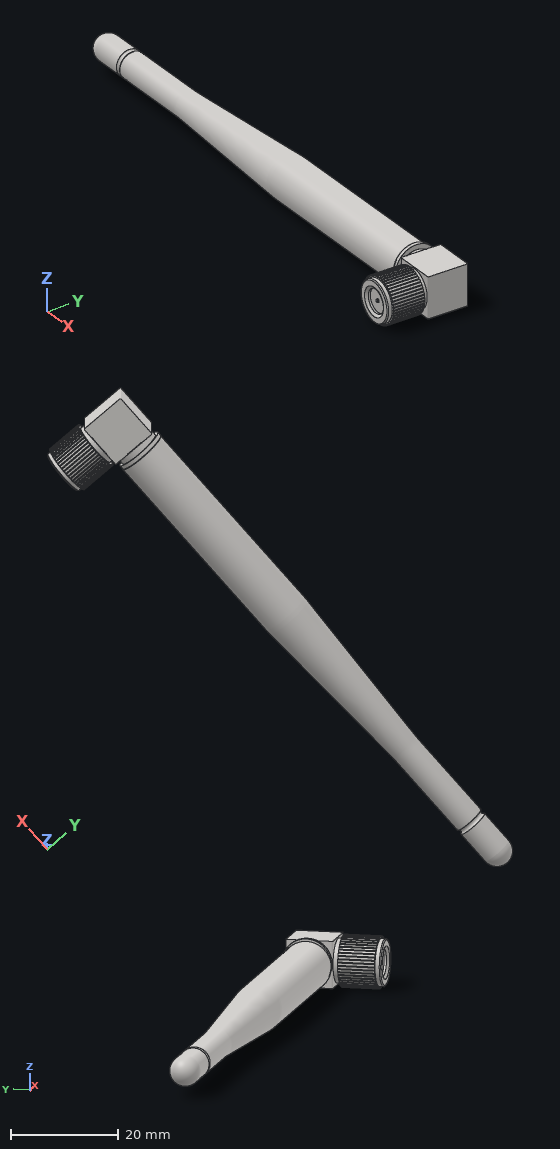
import cadquery as cq
import math

LENGTH = 115.8
NUT_RADIUS = 5.0
COUPLING_X = LENGTH - NUT_RADIUS

TIP_DIA = 5.9
TIP_RADIUS = TIP_DIA / 2
TUBE_RADIUS = 4.7
GROOVE_START = 9.8
GROOVE_WIDTH = 1.0
GROOVE_DEPTH = 0.3
TAPER_START = 29.0
TAPER_END = 62.8
BLEND_LENGTH = 0.52
SHEATH_END = 104.1

RING_RADIUS = TUBE_RADIUS
RING_WIDTH = 0.8
RING_RISE = 0.5

BLOCK_SIZE = 9.0
BLOCK_EDGE_RADIUS = 0.2
NECK_DIA = 8.2
SPIGOT_DIA = 8.5
PIN_DIA = 0.7
PIN_LENGTH = 0.2
STUD_RECESS = 0.9

NUT_START = 5.6
NUT_END = 13.7
NOSE_LENGTH = 1.0
NOSE_DIA = 9.0
NOSE_CHAMFER = 0.2
TOOTH_COUNT = 50
TOOTH_DEPTH = 0.2
CREST_SHARE = 0.7
BORE_DIA = 5.1
BORE_MOUTH_DIA = 6.3
BORE_MOUTH_DEPTH = 0.5

RING_END = SHEATH_END + RING_WIDTH
KNURL_END = NUT_END - NOSE_LENGTH
STUD_END = NUT_END - STUD_RECESS


def coupling_cylinder(diameter, start, end):
    """Cylinder on the coupling axis between two distances from the sheath axis."""
    sketch = cq.Workplane("XZ", origin=(COUPLING_X, -start, 0)).circle(diameter / 2)
    return sketch.extrude(end - start)


def make_sheath():
    dome_offset = TIP_RADIUS * math.sqrt(0.5)
    groove_middle = GROOVE_START + GROOVE_WIDTH / 2
    groove_end = GROOVE_START + GROOVE_WIDTH
    taper_angle = math.atan2(TUBE_RADIUS - TIP_RADIUS, TAPER_END - TAPER_START)
    blend_run = BLEND_LENGTH * math.cos(taper_angle)
    blend_rise = BLEND_LENGTH * math.sin(taper_angle)
    return (
        cq.Workplane("XY")
        .moveTo(0, 0)
        .threePointArc((TIP_RADIUS - dome_offset, dome_offset), (TIP_RADIUS, TIP_RADIUS))
        .lineTo(GROOVE_START, TIP_RADIUS)
        .threePointArc((groove_middle, TIP_RADIUS - GROOVE_DEPTH), (groove_end, TIP_RADIUS))
        .lineTo(TAPER_START - BLEND_LENGTH, TIP_RADIUS)
        .tangentArcPoint((TAPER_START + blend_run, TIP_RADIUS + blend_rise), relative=False)
        .lineTo(TAPER_END - blend_run, TUBE_RADIUS - blend_rise)
        .tangentArcPoint((TAPER_END + BLEND_LENGTH, TUBE_RADIUS), relative=False)
        .lineTo(SHEATH_END, TUBE_RADIUS)
        .lineTo(SHEATH_END, 0)
        .close()
        .revolve(360, (0, 0, 0), (1, 0, 0))
    )


def make_ring():
    return (
        cq.Workplane("YZ", origin=(SHEATH_END, 0, RING_RISE))
        .circle(RING_RADIUS)
        .extrude(RING_WIDTH)
    )


def make_elbow():
    block = cq.Workplane("XY").box(BLOCK_SIZE, BLOCK_SIZE, BLOCK_SIZE)
    block = block.edges("|Z").fillet(BLOCK_EDGE_RADIUS).translate((COUPLING_X, 0, 0))
    neck = (
        cq.Workplane("YZ", origin=(RING_END, 0, 0))
        .circle(NECK_DIA / 2)
        .extrude(COUPLING_X - RING_END)
    )
    spigot = coupling_cylinder(SPIGOT_DIA, 0, NUT_START)
    stud = coupling_cylinder(BORE_DIA, 0, STUD_END)
    pin = coupling_cylinder(PIN_DIA, 0, STUD_END + PIN_LENGTH)
    return block.union(neck).union(spigot).union(stud).union(pin)


def make_nut():
    tooth_pitch = 2 * math.pi / TOOTH_COUNT
    half_groove = (1 - CREST_SHARE) / 2
    groove = [
        (-half_groove, NUT_RADIUS),
        (0, NUT_RADIUS - TOOTH_DEPTH),
        (half_groove, NUT_RADIUS),
    ]
    outline = []
    for tooth in range(TOOTH_COUNT):
        for offset, radius in groove:
            angle = tooth_pitch * (tooth + offset)
            outline.append((radius * math.cos(angle), radius * math.sin(angle)))
    knurl = (
        cq.Workplane("XZ", origin=(COUPLING_X, -NUT_START, 0))
        .polyline(outline)
        .close()
        .extrude(KNURL_END - NUT_START)
    )
    nose = coupling_cylinder(NOSE_DIA, KNURL_END, NUT_END).faces("<Y").chamfer(NOSE_CHAMFER)
    bore = coupling_cylinder(BORE_DIA, NUT_START, NUT_END)
    mouth = (
        cq.Workplane("XZ", origin=(COUPLING_X, -NUT_END, 0))
        .circle(BORE_MOUTH_DIA / 2)
        .workplane(offset=-BORE_MOUTH_DEPTH)
        .circle(BORE_DIA / 2)
        .loft()
    )
    return knurl.union(nose).cut(bore).cut(mouth)


result = cq.Compound.makeCompound([
    make_sheath().val(),
    make_ring().val(),
    make_elbow().val(),
    make_nut().val(),
])